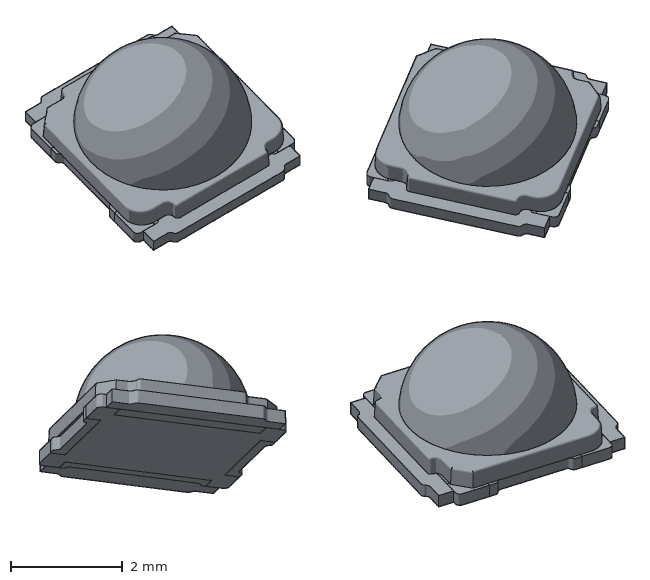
import cadquery as cq

LENGTH_X = 4.0
LENGTH_Y = 3.6
BASE_HEIGHT = 0.25

TERMINAL_INNER_X = 1.59
TERMINAL_END_X = 1.895
TERMINAL_END_Y = 1.65
TERMINAL_STEP_START_Y = 1.17
TERMINAL_STEP_END_Y = 1.335

TAB_INNER_X = 0.94
TAB_INNER_Y = 1.39
TAB_CORNER_RADIUS = 0.095
PAD_CENTRE_HALF_X = 1.28
PAD_CENTRE_HALF_Y = 1.52

WEB_EDGE_Y = 1.7
LUG_FLAT_LENGTH = 0.12
LUG_SIDE_FLAT_LENGTH = 0.04
LUG_BLEND_LENGTH = 0.15

BODY_HALF = 1.74
BODY_TOP_Z = 0.59
BODY_DRAFT_DEG = 3.5
BODY_TOP_ROUND = 0.05
NOTCH_X = 1.545
UPPER_NOTCH_Y = 1.11
LOWER_NOTCH_Y = 1.01
NOTCH_OUTER_RADIUS = 0.075
CORNER_CHAMFER = 0.295
CORNER_RADIUS = 0.39

LENS_RADIUS = 1.6
LENS_TOP_Z = 2.05

HALF_X = LENGTH_X / 2
HALF_Y = LENGTH_Y / 2
LUG_DEPTH = HALF_Y - WEB_EDGE_Y
NOTCH_INNER_RADIUS = BODY_HALF - NOTCH_X - NOTCH_OUTER_RADIUS


def block(x_min, x_max, y_min, y_max):
    """Rectangular piece of lead-frame thickness standing on the ground plane."""
    size_x = x_max - x_min
    size_y = y_max - y_min
    return cq.Workplane("XY").box(size_x, size_y, BASE_HEIGHT, centered=False).translate((x_min, y_min, 0))


def four_corners(piece):
    """The piece together with its mirror images about the XZ and YZ planes."""
    pair = piece.union(piece.mirror("XZ"))
    return pair.union(pair.mirror("YZ"))


def add_s_curve(path, start, end):
    """Extend a path from start to end with two equal tangent arcs of opposite bend."""
    middle = ((start[0] + end[0]) / 2, (start[1] + end[1]) / 2)
    return path.tangentArcPoint(middle, relative=False).tangentArcPoint(end, relative=False)


def make_terminal():
    """Right-hand terminal: a rail with an S-shaped step near each end."""
    step_start = (HALF_X, TERMINAL_STEP_START_Y)
    step_end = (TERMINAL_END_X, TERMINAL_STEP_END_Y)
    path = cq.Workplane("XY").moveTo(TERMINAL_INNER_X, 0).lineTo(HALF_X, 0).lineTo(*step_start)
    path = add_s_curve(path, step_start, step_end)
    upper_half = (
        path.lineTo(TERMINAL_END_X, TERMINAL_END_Y)
        .lineTo(TERMINAL_INNER_X, TERMINAL_END_Y)
        .close()
        .extrude(BASE_HEIGHT)
    )
    return upper_half.union(upper_half.mirror("XZ"))


def make_tongue():
    """Inward tongue of the right-hand terminal, its ends blended around the web lugs."""
    inner_x = TERMINAL_INNER_X - LUG_DEPTH
    blend_start = (TERMINAL_INNER_X, TAB_INNER_Y - LUG_SIDE_FLAT_LENGTH)
    blend_end = (inner_x, blend_start[1] - LUG_BLEND_LENGTH)
    path = cq.Workplane("XY").moveTo(TERMINAL_INNER_X, 0).lineTo(inner_x, 0).lineTo(*blend_end)
    path = add_s_curve(path, blend_end, blend_start)
    upper_half = path.close().extrude(BASE_HEIGHT)
    return upper_half.union(upper_half.mirror("XZ"))


def make_thermal_pad():
    """Central plate with a round-cornered tab at each corner."""
    tab = block(TAB_INNER_X, TERMINAL_INNER_X, TAB_INNER_Y, HALF_Y)
    tab = tab.edges("|Z and >X and >Y").fillet(TAB_CORNER_RADIUS)
    centre = block(-PAD_CENTRE_HALF_X, PAD_CENTRE_HALF_X, -PAD_CENTRE_HALF_Y, PAD_CENTRE_HALF_Y)
    return centre.union(four_corners(tab))


def make_web_lug():
    """Moulded lug beside a tab, rounded outward and then back into the web edge."""
    blend_start = (TAB_INNER_X - LUG_FLAT_LENGTH, HALF_Y)
    blend_end = (blend_start[0] - LUG_BLEND_LENGTH, WEB_EDGE_Y)
    path = cq.Workplane("XY").moveTo(TAB_INNER_X, WEB_EDGE_Y).lineTo(TAB_INNER_X, HALF_Y).lineTo(*blend_start)
    path = add_s_curve(path, blend_start, blend_end)
    return path.close().extrude(BASE_HEIGHT)


def make_webs(thermal_pad, tongue):
    """Moulding that fills the lead frame level around the thermal pad."""
    fill = block(-TERMINAL_INNER_X, TERMINAL_INNER_X, -WEB_EDGE_Y, WEB_EDGE_Y)
    return fill.union(four_corners(make_web_lug())).cut(thermal_pad).cut(tongue)


def make_raised_body():
    """Drafted slab with notched sides, chamfered left and round right corners."""
    slab_height = BODY_TOP_Z - BASE_HEIGHT
    chamfer_x = NOTCH_X - CORNER_CHAMFER
    chamfer_y = BODY_HALF - CORNER_CHAMFER
    round_x = NOTCH_X - CORNER_RADIUS
    round_y = BODY_HALF - CORNER_RADIUS
    step_x = BODY_HALF - NOTCH_OUTER_RADIUS
    upper_inner_y = UPPER_NOTCH_Y + NOTCH_INNER_RADIUS
    upper_outer_y = UPPER_NOTCH_Y - NOTCH_OUTER_RADIUS
    lower_inner_y = -LOWER_NOTCH_Y - NOTCH_INNER_RADIUS
    lower_outer_y = -LOWER_NOTCH_Y + NOTCH_OUTER_RADIUS
    outline = (
        cq.Workplane("XY")
        .workplane(offset=BASE_HEIGHT)
        .moveTo(-chamfer_x, -BODY_HALF)
        .lineTo(round_x, -BODY_HALF)
        .tangentArcPoint((NOTCH_X, -round_y), relative=False)
        .lineTo(NOTCH_X, lower_inner_y)
        .tangentArcPoint((step_x, -LOWER_NOTCH_Y), relative=False)
        .tangentArcPoint((BODY_HALF, lower_outer_y), relative=False)
        .lineTo(BODY_HALF, upper_outer_y)
        .tangentArcPoint((step_x, UPPER_NOTCH_Y), relative=False)
        .tangentArcPoint((NOTCH_X, upper_inner_y), relative=False)
        .lineTo(NOTCH_X, round_y)
        .tangentArcPoint((round_x, BODY_HALF), relative=False)
        .lineTo(-chamfer_x, BODY_HALF)
        .lineTo(-NOTCH_X, chamfer_y)
        .lineTo(-NOTCH_X, upper_inner_y)
        .tangentArcPoint((-step_x, UPPER_NOTCH_Y), relative=False)
        .tangentArcPoint((-BODY_HALF, upper_outer_y), relative=False)
        .lineTo(-BODY_HALF, lower_outer_y)
        .tangentArcPoint((-step_x, -LOWER_NOTCH_Y), relative=False)
        .tangentArcPoint((-NOTCH_X, lower_inner_y), relative=False)
        .lineTo(-NOTCH_X, -chamfer_y)
        .close()
    )
    slab = outline.extrude(slab_height, taper=BODY_DRAFT_DEG)
    return slab.faces(">Z").edges().fillet(BODY_TOP_ROUND)


def make_lens():
    """Part of the sphere above the raised body."""
    sphere = cq.Workplane("XY").sphere(LENS_RADIUS).translate((0, 0, LENS_TOP_Z - LENS_RADIUS))
    above = cq.Workplane("XY").workplane(offset=BODY_TOP_Z).rect(LENGTH_X, LENGTH_Y).extrude(LENS_TOP_Z)
    return sphere.intersect(above)


right_tongue = make_tongue()
right_terminal = make_terminal().union(right_tongue)
left_terminal = make_terminal().mirror("YZ")
thermal_pad = make_thermal_pad()
housing = make_raised_body().union(make_webs(thermal_pad, right_tongue)).union(make_lens())

result = cq.Compound.makeCompound(
    [housing.val(), thermal_pad.val(), left_terminal.val(), right_terminal.val()]
)